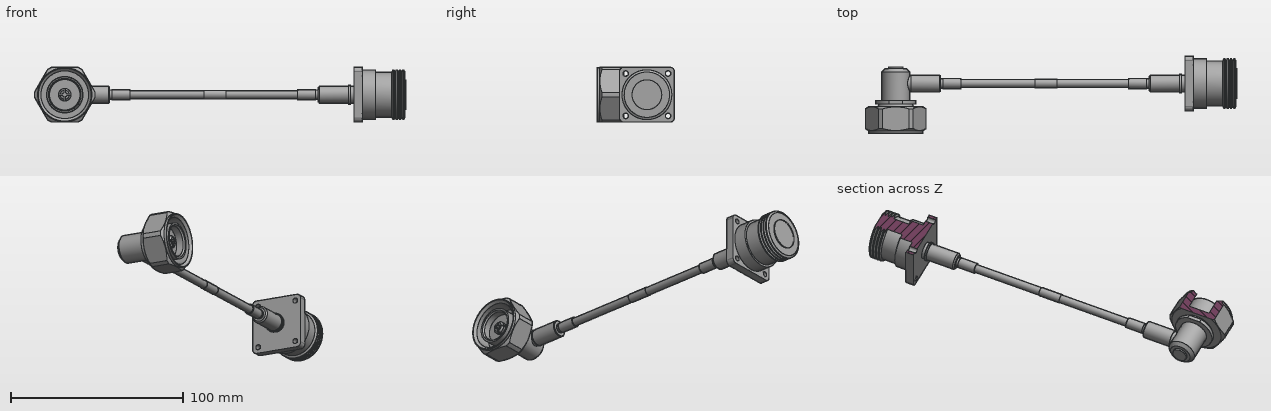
import cadquery as cq
import math


cable_radius = 2.4
label_radius = 2.5
label_start = 80.8
label_length = 13.0

ferrule_radius = 5.0
sleeve_groove_length = 1.5
sleeve_radius = 3.0
sleeve_groove_radius = 2.8
sleeve_length = 10.4

nut_across_flats = 32.0
nut_corner_radius = 17.7
nut_rear_y = -13.5
nut_hex_front_y = -27.5
nut_front_y = -29.0
nut_lip_radius = 15.8
nut_chamfer_length = 1.3
nut_bore_radius = 13.8
nut_mouth_radius = 15.3
nut_mouth_length = 1.5
nut_web_thickness = 3.9
neck_radius = 10.4
neck_top_radius = 9.7

flange_radius = 11.7
flange_across_flats = 22.0
flange_front_y = -11.9
flange_rear_y = -9.7

elbow_radius = 8.2
elbow_end_y = 8.6
elbow_chamfer = 2.0
cap_radius = 4.3
cap_height = 1.0
elbow_stub_radius = 4.5
plug_ferrule_start = 8.9
plug_ferrule_end = 26.0
plug_ferrule_bevel = 0.5

barrel_radius = 10.5
barrel_bore_radius = 8.9
barrel_front_y = -27.5
barrel_floor_y = -22.0
barrel_mouth_radius = 9.5
barrel_mouth_length = 1.0
pin_radius = 3.7
pin_tip_y = -24.9
pin_chamfer = 1.0
pin_bore_radius = 1.3
pin_slot_width = 0.9
pin_slot_depth = 2.5

plate_side = 32.0
plate_start = 168.0
plate_thickness = 5.0
plate_corner_radius = 2.5
mount_hole_offset = 12.3
mount_hole_diameter = 3.0
jack_ferrule_start = 147.2
jack_ferrule_bevel = 0.9
collar_start = 165.0
collar_length = 1.0
collar_radius = 5.6
shoulder_radius = 14.5
shoulder_end = 180.7
barrel_core_radius = 13.2
barrel_core_end = 197.8
thread_radius = 14.5
thread_start = 190.0
thread_pitch = 1.92
thread_crests = 4
thread_crest_width = 0.6
jack_lip_radius = 8.6
jack_end = 198.5


def turned_x(profile):
    """Solid of revolution about the X axis from (x, radius) points."""
    start, end = profile[0][0], profile[-1][0]
    points = [(start, 0), *profile, (end, 0)]
    return cq.Workplane("XZ").polyline(points).close().revolve(360, (0, 0, 0), (1, 0, 0))


def turned_y(profile):
    """Solid of revolution about the Y axis from (radius, y) points."""
    start, end = profile[0][1], profile[-1][1]
    points = [(start, 0), *((y, radius) for radius, y in profile), (end, 0)]
    return cq.Workplane("YZ").polyline(points).close().revolve(360, (0, 0, 0), (1, 0, 0))


def cylinder_y(radius, start, end):
    return turned_y([(radius, start), (radius, end)])


def cable_tail(ferrule_root, ferrule_end, bevel):
    """Ferrule, groove and sleeve from the root toward the cable, in either X direction."""
    way = math.copysign(1, ferrule_end - ferrule_root)
    groove_end = ferrule_end + way * sleeve_groove_length
    sleeve_end = groove_end + way * sleeve_length
    tail = turned_x([
        (ferrule_root, ferrule_radius),
        (ferrule_end - way * bevel, ferrule_radius),
        (ferrule_end, ferrule_radius - bevel),
        (ferrule_end, sleeve_groove_radius),
        (groove_end, sleeve_groove_radius),
        (groove_end, sleeve_radius),
        (sleeve_end, sleeve_radius),
    ])
    cable_hole = turned_x([(ferrule_end, cable_radius), (sleeve_end, cable_radius)])
    return tail.cut(cable_hole)


def make_nut():
    """Hexagonal coupling nut with turned corners and a front lip, running on the plug's neck."""
    corner_to_corner = nut_across_flats / math.cos(math.pi / 6)
    hexagon = (
        cq.Workplane("XZ", origin=(0, nut_rear_y, 0))
        .polygon(6, corner_to_corner)
        .extrude(nut_rear_y - nut_front_y)
    )
    envelope = turned_y([
        (nut_lip_radius, nut_rear_y),
        (nut_corner_radius, nut_rear_y - nut_chamfer_length),
        (nut_corner_radius, nut_hex_front_y + nut_chamfer_length),
        (nut_lip_radius, nut_hex_front_y),
        (nut_lip_radius, nut_front_y),
    ])
    cavity = turned_y([
        (nut_bore_radius, nut_rear_y - nut_web_thickness),
        (nut_bore_radius, nut_front_y + nut_mouth_length),
        (nut_mouth_radius, nut_front_y),
    ])
    neck_hole = cylinder_y(neck_radius, nut_rear_y, nut_front_y)
    return hexagon.intersect(envelope).cut(cavity).cut(neck_hole)


def make_plug_flange():
    """Round flange with a flat above and below."""
    disc = cylinder_y(flange_radius, flange_front_y, flange_rear_y)
    flats = cq.Workplane("XY").box(2 * flange_radius, 4 * flange_radius, flange_across_flats)
    return disc.intersect(flats)


def make_pin():
    """Center contact with a bored tip split by two crossed slots."""
    pin = turned_y([
        (pin_radius, barrel_floor_y),
        (pin_radius, pin_tip_y + pin_chamfer),
        (pin_radius - pin_chamfer, pin_tip_y),
    ])
    pin = pin.cut(cylinder_y(pin_bore_radius, pin_tip_y, pin_tip_y + pin_slot_depth))
    slot = cq.Workplane("XY", origin=(0, pin_tip_y + pin_slot_depth / 2, 0)).box(
        2 * pin_radius, pin_slot_depth, pin_slot_width
    )
    for angle in (0, 90):
        pin = pin.cut(slot.rotate((0, 0, 0), (0, 1, 0), angle))
    return pin


def make_plug():
    """Angle plug: barrel, neck, flange, elbow and the cable tail on its side."""
    body = turned_y([
        (barrel_radius, barrel_front_y),
        (barrel_radius, nut_rear_y - nut_web_thickness),
        (neck_radius, nut_rear_y - nut_web_thickness),
        (neck_radius, nut_rear_y),
        (neck_top_radius, flange_front_y),
        (elbow_radius, flange_front_y),
        (elbow_radius, elbow_end_y - elbow_chamfer),
        (elbow_radius - elbow_chamfer, elbow_end_y),
        (cap_radius, elbow_end_y),
        (cap_radius, elbow_end_y + cap_height),
    ])
    socket = turned_y([
        (barrel_mouth_radius, barrel_front_y),
        (barrel_bore_radius, barrel_front_y + barrel_mouth_length),
        (barrel_bore_radius, barrel_floor_y),
    ])
    body = body.cut(socket)
    side_stub = turned_x([(0, elbow_stub_radius), (plug_ferrule_start, elbow_stub_radius)])
    tail = cable_tail(plug_ferrule_start, plug_ferrule_end, plug_ferrule_bevel)
    return body.union(make_plug_flange()).union(make_pin()).union(side_stub).union(tail)


def make_jack_plate():
    """Square flange with rounded corners and a mounting hole through each corner."""
    return (
        cq.Workplane("YZ", origin=(plate_start, 0, 0))
        .rect(plate_side, plate_side)
        .extrude(plate_thickness)
        .edges("|X")
        .fillet(plate_corner_radius)
        .faces("<X")
        .workplane(origin=(plate_start, 0, 0))
        .rect(2 * mount_hole_offset, 2 * mount_hole_offset, forConstruction=True)
        .vertices()
        .hole(mount_hole_diameter)
    )


def make_thread_crest(index):
    """One ring of the thread, numbered from the plate side."""
    start = thread_start + index * thread_pitch
    flank = (thread_pitch - thread_crest_width) / 2
    return turned_x([
        (start, barrel_core_radius),
        (start + flank, thread_radius),
        (start + flank + thread_crest_width, thread_radius),
        (start + thread_pitch, barrel_core_radius),
    ])


def make_jack():
    """Panel jack: plate, stepped barrel, thread rings, collar and cable tail."""
    plate_end = plate_start + plate_thickness
    barrel = turned_x([
        (plate_end, shoulder_radius),
        (shoulder_end, shoulder_radius),
        (shoulder_end, barrel_core_radius),
        (barrel_core_end, barrel_core_radius),
        (barrel_core_end, jack_lip_radius),
        (jack_end, jack_lip_radius),
    ])
    collar = turned_x([(collar_start, collar_radius), (collar_start + collar_length, collar_radius)])
    tail = cable_tail(plate_start, jack_ferrule_start, jack_ferrule_bevel)
    jack = make_jack_plate().union(barrel).union(tail).union(collar)
    for index in range(thread_crests):
        jack = jack.union(make_thread_crest(index))
    return jack


def make_cable():
    """Straight cable reaching from ferrule to ferrule."""
    return turned_x([(plug_ferrule_end, cable_radius), (jack_ferrule_start, cable_radius)])


def make_label():
    """Thin band wrapped around the cable near its middle."""
    label_end = label_start + label_length
    wrap = turned_x([(label_start, label_radius), (label_end, label_radius)])
    return wrap.cut(make_cable())


plug = make_plug()
nut = make_nut()
cable = make_cable()
label = make_label()
jack = make_jack()

result = cq.Compound.makeCompound([plug.val(), nut.val(), cable.val(), label.val(), jack.val()])